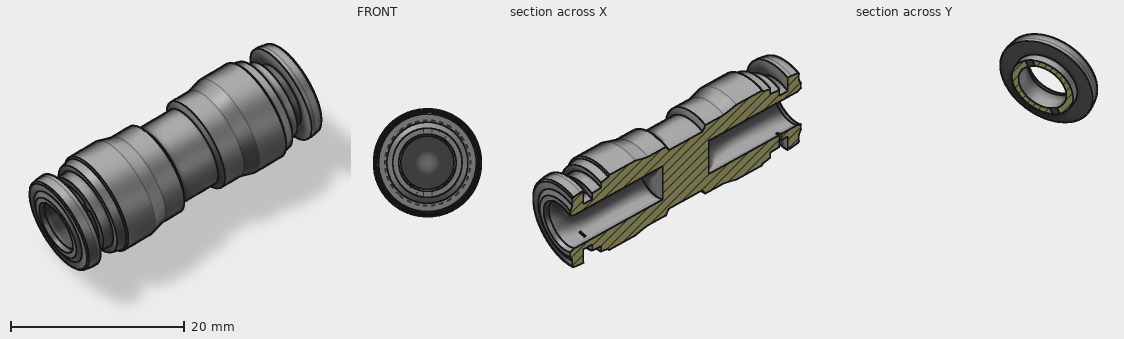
import cadquery as cq

LENGTH = 34.2
HALF = LENGTH / 2

BODY_R = 12.5 / 2
BARREL_R = 5.75
WAIST_R = 5.0
SHOULDER_R = 6.02
COLLAR_R = 5.0
COLLAR_TIP_R = 4.9
SLEEVE_R = 4.0
FLANGE_R = 6.02
FLANGE_FRONT_R = 5.85
FLANGE_FACE_R = 5.65
LIP_BASE_R = 4.7
LIP_R = 4.0
MOUTH_R = 3.32
BORE_R = 3.08

LIP_DEPTH = 0.3
FLANGE_CHAMFER_END = 0.48
FLANGE_TAPER_END = 1.5
FLANGE_BACK = 2.02
COLLAR_TIP = 3.2
SHOULDER_FACE = 4.55
SHOULDER_TAPER_END = 5.65
BODY_START = 5.8
BODY_END = 9.65
BARREL_START = 11.5
BARREL_END = 14.2
WAIST_START = 14.65
MOUTH_DEPTH = 0.6
BORE_DEPTH = 13.68

NOTCH_WIDTH = 0.95
NOTCH_LENGTH = 0.2
FRONT_COLLET_TURN = 27.0
BACK_COLLET_TURN = 0.0

end_profile = [
    (0, BORE_DEPTH),
    (BORE_R, BORE_DEPTH),
    (BORE_R, MOUTH_DEPTH),
    (MOUTH_R, 0),
    (LIP_R, 0),
    (LIP_BASE_R, LIP_DEPTH),
    (FLANGE_FACE_R, LIP_DEPTH),
    (FLANGE_FRONT_R, FLANGE_CHAMFER_END),
    (FLANGE_R, FLANGE_TAPER_END),
    (FLANGE_R, FLANGE_BACK),
    (SLEEVE_R, FLANGE_BACK),
    (SLEEVE_R, COLLAR_TIP),
    (COLLAR_TIP_R, COLLAR_TIP),
    (COLLAR_R, SHOULDER_FACE),
    (BARREL_R, SHOULDER_FACE),
    (SHOULDER_R, SHOULDER_TAPER_END),
    (BODY_R, BODY_START),
    (BODY_R, BODY_END),
    (BARREL_R, BARREL_START),
    (BARREL_R, BARREL_END),
    (WAIST_R, WAIST_START),
]


def turned_connector():
    """Both ends revolved about Y as one solid, with a web left between the bores."""
    front = [(radius, depth - HALF) for radius, depth in end_profile]
    back = [(radius, -y) for radius, y in reversed(front)]
    return cq.Workplane("XY").polyline(front + back).close().revolve(360, (0, 0), (0, 1))


def sleeve_notches(y_center, turn):
    """Bar across the sleeve, turned about Y, that opens two opposite notches in its wall."""
    return (
        cq.Workplane("XY")
        .box(NOTCH_WIDTH, NOTCH_LENGTH, 2 * FLANGE_R)
        .translate((0, y_center, 0))
        .rotate((0, 0, 0), (0, 1, 0), turn)
    )


notch_y = HALF - COLLAR_TIP + NOTCH_LENGTH / 2
result = (
    turned_connector()
    .cut(sleeve_notches(-notch_y, FRONT_COLLET_TURN))
    .cut(sleeve_notches(notch_y, BACK_COLLET_TURN))
)